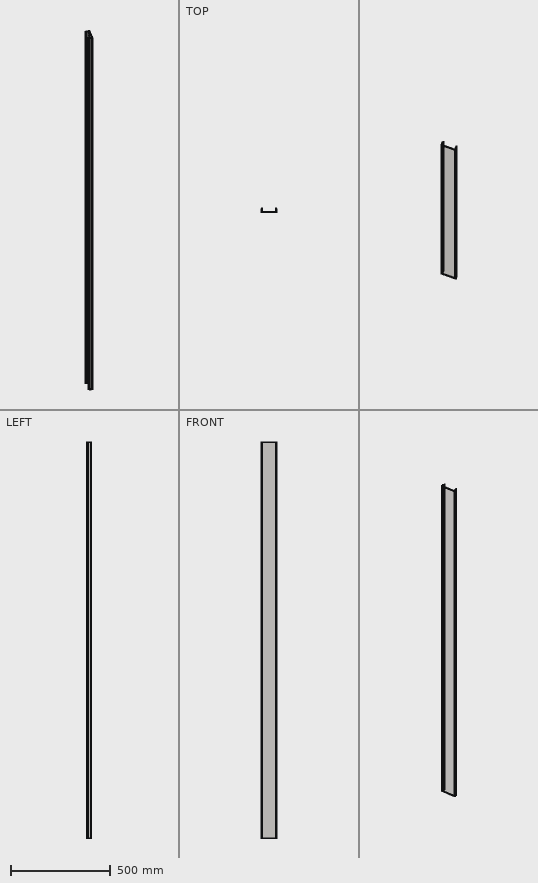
import cadquery as cq


length = 2000.0
width = 80.5
height = 21.0
web_thickness = 2.0
wall_thickness = 1.5
outer_wall_height = 15.0
web_overhang = 0.75
clip_leg_inset = 4.75

half_width = width / 2
outer_wall_center = half_width - web_overhang - wall_thickness / 2
clip_leg_center = half_width - clip_leg_inset - wall_thickness / 2


def make_plate(center_x, size_x, size_y):
    """Full-length plate standing on the outer face of the web (Y = 0)."""
    plate = cq.Workplane("XY").box(size_x, size_y, length, centered=(True, False, False))
    return plate.translate((center_x, 0, 0))


result = make_plate(0, width, web_thickness)
for side in (-1, 1):
    outer_wall = make_plate(side * outer_wall_center, wall_thickness, outer_wall_height)
    clip_leg = make_plate(side * clip_leg_center, wall_thickness, height)
    result = result.union(outer_wall).union(clip_leg)
result = result.clean()